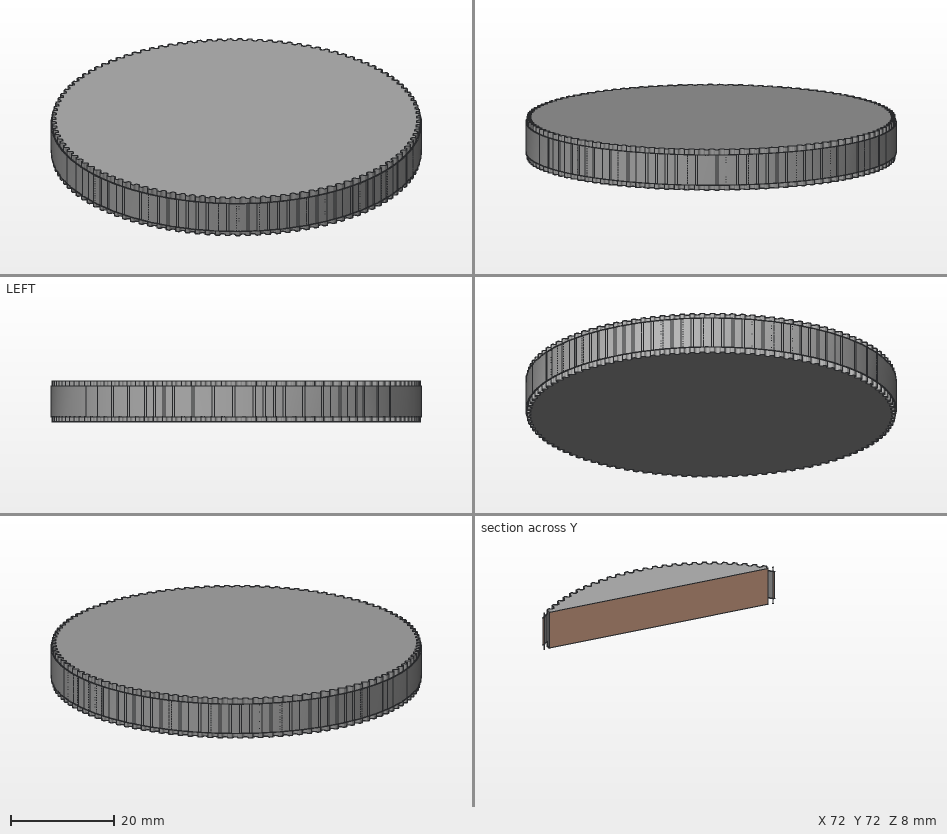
import cadquery as cq
import math

outer_diameter = 71.95
disc_height = 8.0
tooth_count = 113
tip_diameter = 71.45
root_diameter = 69.9
groove_radius = 0.555
tip_rounding = 0.2
band_margin = 1.0

tip_radius = tip_diameter / 2
root_radius = root_diameter / 2
groove_centre_radius = root_radius + groove_radius
band_height = disc_height - 2 * band_margin
tooth_pitch_angle = 360 / tooth_count
first_groove_angle = -90.0


def point_on_circle(centre, radius, angle):
    """Point at the given angle (radians) on a circle."""
    return (centre[0] + radius * math.cos(angle), centre[1] + radius * math.sin(angle))


def groove_cutter():
    """Tooth gap on the +X axis: round bottom blending into rounded tooth corners."""
    groove_centre = (groove_centre_radius, 0)

    corner_centre_radius = tip_radius - tip_rounding
    centre_distance = groove_radius + tip_rounding
    corner_angle = math.acos(
        (corner_centre_radius**2 + groove_centre_radius**2 - centre_distance**2)
        / (2 * corner_centre_radius * groove_centre_radius)
    )
    corner_centre = point_on_circle((0, 0), corner_centre_radius, corner_angle)
    contact_angle = math.atan2(corner_centre[1], corner_centre[0] - groove_centre_radius)

    tip_point = point_on_circle((0, 0), tip_radius, corner_angle)
    corner_middle_angle = (corner_angle + contact_angle - math.pi) / 2
    corner_middle = point_on_circle(corner_centre, tip_rounding, corner_middle_angle)
    groove_point = point_on_circle(groove_centre, groove_radius, contact_angle)
    groove_bottom = (root_radius, 0)

    def mirrored(point):
        return (point[0], -point[1])

    return (
        cq.Workplane("XY")
        .moveTo(*tip_point)
        .threePointArc(corner_middle, groove_point)
        .threePointArc(groove_bottom, mirrored(groove_point))
        .threePointArc(mirrored(corner_middle), mirrored(tip_point))
        .threePointArc((tip_radius, 0), tip_point)
        .close()
        .extrude(disc_height)
    )


def toothed_disc():
    """Solid disc with tooth gaps cut through its full height."""
    disc = cq.Workplane("XY").circle(tip_radius).extrude(disc_height)
    cutter = groove_cutter().val()
    grooves = [
        cutter.rotate((0, 0, 0), (0, 0, 1), first_groove_angle + index * tooth_pitch_angle)
        for index in range(tooth_count)
    ]
    return disc.cut(cq.Workplane(cq.Compound.makeCompound(grooves)))


def band():
    """Thin ring that touches the tooth tips and bridges the gaps."""
    return (
        cq.Workplane("XY")
        .workplane(offset=band_margin)
        .circle(outer_diameter / 2)
        .circle(tip_radius)
        .extrude(band_height)
    )


result = toothed_disc().union(band())